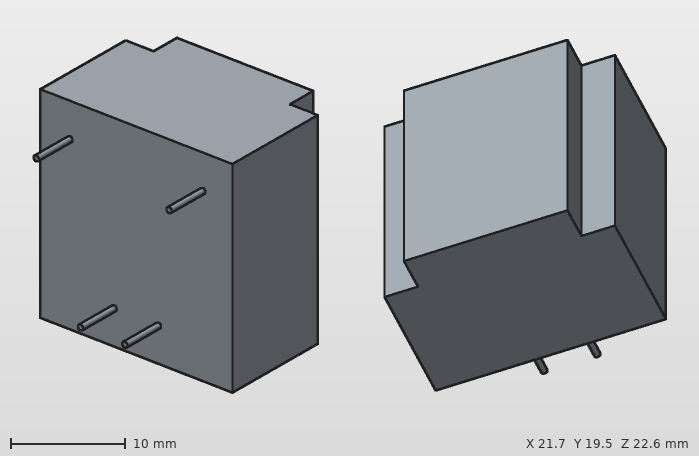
import cadquery as cq

case_width = 21.7
case_height = 22.6
case_depth = 14.9
step_width = 15.4
step_depth = 3.2
shoulder_depth = case_depth - step_depth

rim_width = 0.58
potting_width = case_width - 2 * rim_width
potting_height = case_height - 2 * rim_width
potting_depth = 1.0

pin_diameter = 0.6
pin_length = 4.6
pin_pitch = 5.0
pin_row_height = 1.5 * pin_pitch
upper_pin_offset = 1.5 * pin_pitch
lower_pin_offset = 0.5 * pin_pitch
pin_positions = [
    (-upper_pin_offset, pin_row_height),
    (upper_pin_offset, pin_row_height),
    (-lower_pin_offset, -pin_row_height),
    (lower_pin_offset, -pin_row_height),
]


def block(width, height, depth):
    """Box centred on X and Z that reaches from the front face back to depth."""
    return cq.Workplane("XY").box(width, depth, height).translate((0, depth / 2, 0))


def make_case():
    body = block(case_width, case_height, shoulder_depth)
    step = block(step_width, case_height, case_depth)
    return body.union(step)


def add_potting(case):
    """Set the potting into the case, keeping its outline as an edge on the front face."""
    potting = block(potting_width, potting_height, potting_depth)
    return case.cut(potting).union(potting, clean=False)


def make_pins():
    """Round pins standing out of the front face toward -Y."""
    return cq.Workplane("XZ").pushPoints(pin_positions).circle(pin_diameter / 2).extrude(pin_length)


result = add_potting(make_case()).union(make_pins(), clean=False)